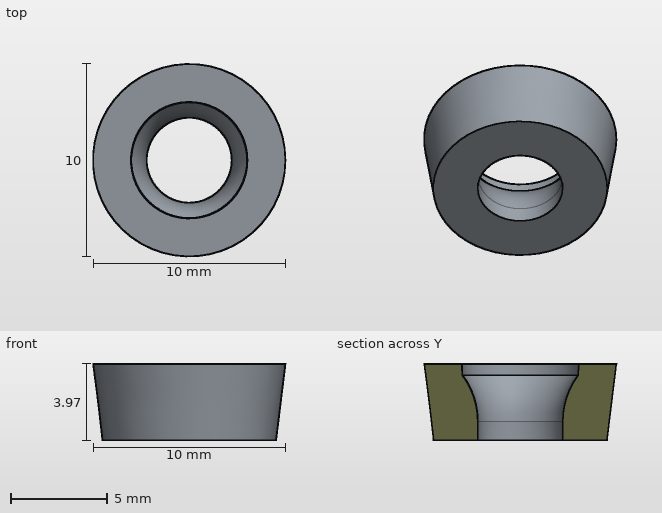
import cadquery as cq
import math

top_diameter = 10.0
height = 3.97
clearance_angle = 7.0

entry_diameter = 6.06
seat_diameter = 6.0
entry_depth = 0.58
bore_diameter = 4.4
bore_depth = 2.96

top_radius = top_diameter / 2
bottom_radius = top_radius - height * math.tan(math.radians(clearance_angle))
seat_radius = seat_diameter / 2
bore_radius = bore_diameter / 2
seat_z = height - entry_depth
bore_z = height - bore_depth

throat_drop = seat_z - bore_z
throat_step = seat_radius - bore_radius
throat_radius = (throat_drop**2 + throat_step**2) / (2 * throat_step)
half_angle = math.asin(throat_drop / throat_radius) / 2
throat_middle = (
    bore_radius + throat_radius * (1 - math.cos(half_angle)),
    bore_z + throat_radius * math.sin(half_angle),
)

half_section = (
    cq.Workplane("XZ")
    .moveTo(bore_radius, 0)
    .lineTo(bottom_radius, 0)
    .lineTo(top_radius, height)
    .lineTo(entry_diameter / 2, height)
    .lineTo(seat_radius, seat_z)
    .threePointArc(throat_middle, (bore_radius, bore_z))
    .close()
)
result = half_section.revolve(360, (0, 0, 0), (0, 1, 0))